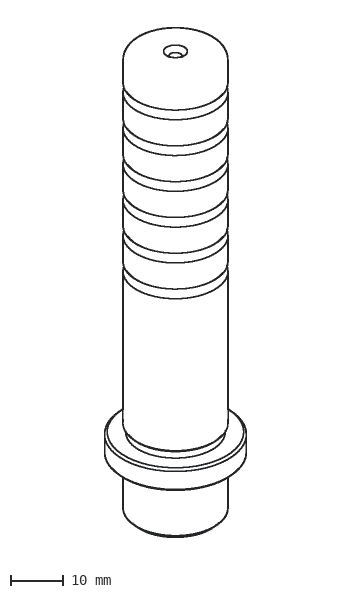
import cadquery as cq
import math

total_length = 103.0
body_radius = 10.0

top_fillet = 2.0

groove_count = 6
groove_span = 40.0
groove_pitch = groove_span / (groove_count - 1)
first_groove_drop = 8.0
groove_width = 2.2
groove_depth = 0.6

flange_radius = 13.5
flange_bottom = 13.0
flange_thickness = 5.0
flange_chamfer = 0.5
flange_top = flange_bottom + flange_thickness

neck_radius = 9.5
neck_height = 1.4
neck_slope = body_radius - neck_radius

spigot_neck_radius = 9.7
spigot_neck_height = 0.3
spigot_neck_slope = body_radius - spigot_neck_radius
spigot_end_chamfer = 1.0

centre_mouth_radius = 2.3
centre_drill_radius = 1.2
centre_sink_angle = 90.0
centre_tip_angle = 120.0
centre_drill_length = 1.2


def cone_height(large_radius, small_radius, included_angle):
    """Height of a cone between two radii for a given included angle."""
    return (large_radius - small_radius) / math.tan(math.radians(included_angle / 2))


def make_body():
    """Spigot, flange, neck and body revolved as one outline."""
    neck_top = flange_top + neck_height
    spigot_neck_bottom = flange_bottom - spigot_neck_height
    outline = (
        cq.Workplane("XZ")
        .lineTo(body_radius - spigot_end_chamfer, 0)
        .lineTo(body_radius, spigot_end_chamfer)
        .lineTo(body_radius, spigot_neck_bottom - spigot_neck_slope)
        .lineTo(spigot_neck_radius, spigot_neck_bottom)
        .lineTo(spigot_neck_radius, flange_bottom)
        .lineTo(flange_radius - flange_chamfer, flange_bottom)
        .lineTo(flange_radius, flange_bottom + flange_chamfer)
        .lineTo(flange_radius, flange_top - flange_chamfer)
        .lineTo(flange_radius - flange_chamfer, flange_top)
        .lineTo(neck_radius, flange_top)
        .lineTo(neck_radius, neck_top)
        .lineTo(body_radius, neck_top + neck_slope)
        .lineTo(body_radius, total_length - top_fillet)
        .radiusArc((body_radius - top_fillet, total_length), -top_fillet)
        .lineTo(0, total_length)
        .close()
    )
    return outline.revolve(360, (0, 0), (0, 1))


def make_groove(height):
    """Ring whose round section reaches groove_depth into the body."""
    half_width = groove_width / 2
    section_radius = (half_width**2 + groove_depth**2) / (2 * groove_depth)
    section_centre = body_radius - groove_depth + section_radius
    ring = cq.Solid.makeTorus(section_centre, section_radius, cq.Vector(0, 0, height))
    return cq.Workplane(ring)


def make_centre_hole():
    """Countersink, short drilled length and conical drill tip."""
    sink_depth = cone_height(centre_mouth_radius, centre_drill_radius, centre_sink_angle)
    sink_bottom = total_length - sink_depth
    drill_bottom = sink_bottom - centre_drill_length
    tip = drill_bottom - cone_height(centre_drill_radius, 0, centre_tip_angle)
    outline = (
        cq.Workplane("XZ")
        .moveTo(0, tip)
        .lineTo(centre_drill_radius, drill_bottom)
        .lineTo(centre_drill_radius, sink_bottom)
        .lineTo(centre_mouth_radius, total_length)
        .lineTo(0, total_length)
        .close()
    )
    return outline.revolve(360, (0, 0), (0, 1))


result = make_body()
for index in range(groove_count):
    groove_height = total_length - first_groove_drop - index * groove_pitch
    result = result.cut(make_groove(groove_height))
result = result.cut(make_centre_hole())